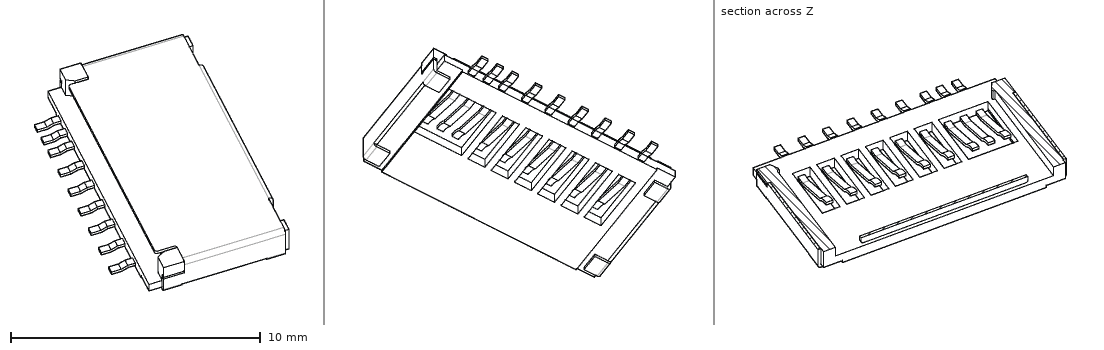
import cadquery as cq
import math


width = 11.25
height = 1.5
sheet = 0.15

shield_front = 0.57
shield_depth = 5.25
bend_radius = 0.2
tab_length = 0.76
tab_depth = 0.8
notch_inset = 0.9
notch_depth = 0.9
notch_floor = 0.8
corner_radius = 0.1
flap_width = 7.55
flap_bottom = 0.72
shield_rear = shield_front + shield_depth
rear_face = shield_rear + bend_radius
sheet_underside = height - sheet

base_width = width - 2 * sheet
base_top = 0.55
base_bottom = 0.03
step_width = 9.22
rail_width = 0.55
post_width = 0.8
post_chamfer_x = 0.19
post_chamfer_y = 0.34
post_overhang_bottom = 0.9
post_step_y = 1.04
post_rear = shield_front + notch_depth

contact_width = 0.3
pitch = 1.1
narrow_pitch = 0.72
last_contact_x = 3.85
wide_spaced = 7
narrow_spaced = 2
tail_reach = 1.02
tail_bend_start = 0.33
tail_bend_end = 0.61
strip_top = 0.26
slope_start = 1.44
slope_angle = math.radians(16)
tip_base = 0.69
tip_top = 0.9
tip_length = 0.53
slot_width = 0.8
slot_front = 1.04
slot_clearance = 0.15

third_contact_x = last_contact_x - (wide_spaced - 1) * pitch
contact_xs = [last_contact_x - i * pitch for i in range(wide_spaced)]
contact_xs += [third_contact_x - (i + 1) * narrow_pitch for i in range(narrow_spaced)]
tip_start = slope_start + (tip_base - strip_top) / math.tan(slope_angle)
tip_end = tip_start + tip_length
tip_rise = tip_top - tip_base
tip_radius = (tip_length**2 + tip_rise**2) / (2 * tip_rise)
tip_half_angle = math.asin(tip_length / tip_radius) / 2
tip_mid_y = tip_end - tip_radius * math.sin(tip_half_angle)
tip_mid_z = tip_top - tip_radius * (1 - math.cos(tip_half_angle))


def block(x, y, z):
    """Box between the limits given as (low, high) pairs."""
    size = [high - low for low, high in (x, y, z)]
    return cq.Workplane("XY").box(*size, centered=False).translate((x[0], y[0], z[0]))


def both_sides(right_half):
    """The shape together with its mirror image across X = 0."""
    return right_half.union(right_half.mirror("YZ"))


def shield_top_and_walls():
    """Top sheet and side walls, with rounded top bends."""
    outer = block((-width / 2, width / 2), (shield_front, shield_rear), (sheet, height))
    outer = outer.edges("|Y and >Z").fillet(bend_radius)
    inside = (-base_width / 2, base_width / 2)
    return outer.cut(block(inside, (shield_front, shield_rear), (sheet, sheet_underside)))


def rear_flap():
    """Flap folded down behind the top sheet."""
    flap_x = (-flap_width / 2, flap_width / 2)
    root = shield_rear - bend_radius
    flap = block(flap_x, (root, rear_face), (flap_bottom, height))
    flap = flap.edges("|X and >Y and >Z").fillet(bend_radius)
    flap = flap.cut(block(flap_x, (root, rear_face - sheet), (flap_bottom, sheet_underside)))
    return flap.edges("|Y and <Z").fillet(corner_radius)


def side_tab(front):
    """Tab folded under the base on the +X side, starting at the given Y."""
    tab = block((width / 2 - tab_length, width / 2), (front, front + tab_depth), (0, 2 * sheet))
    tab = tab.edges("|Y and >X and <Z").fillet(sheet)
    above_tab = (width / 2 - tab_length, base_width / 2)
    return tab.cut(block(above_tab, (front, front + tab_depth), (sheet, 2 * sheet)))


def corner_notch():
    """Cutter for the notch around the +X front post."""
    edge_x = width / 2 - notch_inset
    sheet_cut = block((edge_x, width / 2), (shield_front, post_rear), (notch_floor, height))
    return sheet_cut.edges("|Z and <X and >Y").fillet(corner_radius)


def make_shield():
    shield = shield_top_and_walls().union(rear_flap())
    for front in (shield_front, shield_rear - tab_depth):
        shield = shield.union(both_sides(side_tab(front)))
    shield = shield.cut(both_sides(corner_notch()))
    front_corners = cq.selectors.BoxSelector(
        (-width / 2 + notch_inset - sheet, shield_front - sheet, sheet_underside - sheet),
        (width / 2 - notch_inset + sheet, shield_front + sheet, height + sheet),
    )
    return shield.edges(front_corners).edges("|Z").fillet(corner_radius)


def front_post():
    """Chamfered +X post with overhangs above the side wall of the shield and behind its inner face."""
    inner = width / 2 - post_width
    outline = [
        (width / 2, shield_front),
        (inner + post_chamfer_x, shield_front),
        (inner, shield_front + post_chamfer_y),
        (inner, post_rear),
        (width / 2, post_rear),
    ]
    post = cq.Workplane("XY").workplane(offset=base_top).polyline(outline).close()
    post = post.extrude(height - base_top)
    wall_space = (base_width / 2, width / 2)
    post = post.cut(block(wall_space, (shield_front, post_rear), (base_top, post_overhang_bottom)))
    recess = (inner, base_width / 2 - rail_width)
    return post.cut(block(recess, (post_step_y, post_rear), (base_top, sheet_underside)))


def contact_slot(x):
    """Cutter for the opening around one contact."""
    slot_x = (x - slot_width / 2, x + slot_width / 2)
    return block(slot_x, (slot_front, tip_end + slot_clearance), (base_bottom, base_top))


def contact(x):
    """Bent strip: soldering tail, run through the base, sloped beam and a rounded tip level at its end."""
    tail_angle = math.atan2(strip_top - sheet, tail_bend_end - tail_bend_start)
    tail_shift = sheet * math.tan(tail_angle / 2)
    beam_shift = sheet * math.tan(slope_angle / 2)
    profile = (
        cq.Workplane("YZ")
        .moveTo(-tail_reach, 0)
        .lineTo(-tail_reach, sheet)
        .lineTo(-tail_bend_end, sheet)
        .lineTo(-tail_bend_start, strip_top)
        .lineTo(slope_start, strip_top)
        .lineTo(tip_start, tip_base)
        .threePointArc((tip_mid_y, tip_mid_z), (tip_end, tip_top))
        .lineTo(tip_end, tip_top - sheet)
        .threePointArc((tip_mid_y, tip_mid_z - sheet), (tip_start, tip_base - sheet))
        .lineTo(slope_start + beam_shift, strip_top - sheet)
        .lineTo(-tail_bend_start + tail_shift, strip_top - sheet)
        .lineTo(-tail_bend_end + tail_shift, 0)
        .close()
    )
    return profile.extrude(contact_width / 2, both=True).translate((x, 0, 0))


def make_base():
    floor_x = (-base_width / 2, base_width / 2)
    base = block(floor_x, (0, rear_face), (sheet, base_top))
    base = base.union(block((-step_width / 2, step_width / 2), (0, rear_face), (base_bottom, base_top)))
    rail_x = (base_width / 2 - rail_width, base_width / 2)
    rail = block(rail_x, (post_rear, rear_face), (base_top, sheet_underside))
    base = base.union(both_sides(rail)).union(both_sides(front_post()))
    for x in contact_xs:
        base = base.cut(contact_slot(x))
    for x in contact_xs:
        base = base.union(contact(x))
    return base


shield = make_shield()
base = make_base()
result = cq.Compound.makeCompound([shield.val(), base.val()])